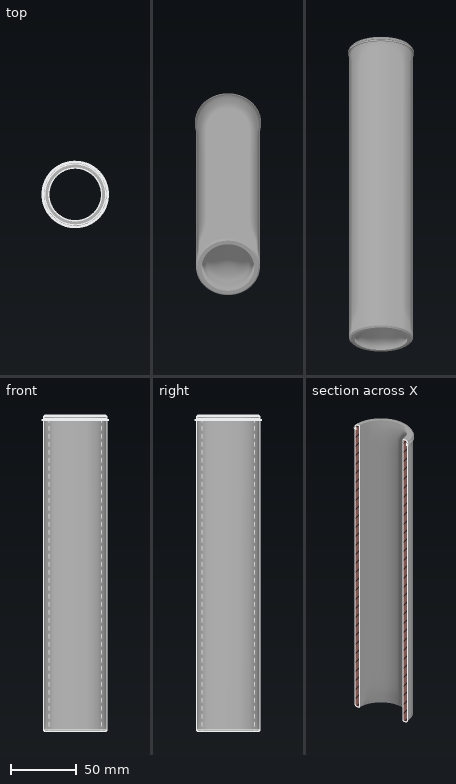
import cadquery as cq

LENGTH = 240.0
TUBE_RADIUS = 24.2
BORE_RADIUS = 20.0
CHAMFER_WIDTH = 1.2
CHAMFER_HEIGHT = 1.2

GROOVE_DEPTH = 1.0
GROOVE_FLOOR_RADIUS = TUBE_RADIUS - GROOVE_DEPTH
GROOVE_HEIGHT = 1.7
GROOVE_BASE_Z = 236.0

RING_OUTER_RADIUS = 25.2
RING_THICKNESS = 1.0


def make_washer(height):
    """Flat washer on the groove's lower wall, its bore touching the groove floor."""
    return (
        cq.Workplane("XY", origin=(0, 0, GROOVE_BASE_Z))
        .circle(RING_OUTER_RADIUS)
        .circle(GROOVE_FLOOR_RADIUS)
        .extrude(height)
    )


def make_tube():
    """Bored tube with chamfered outer ends and a groove for the ring."""
    end_radius = TUBE_RADIUS - CHAMFER_WIDTH
    wall_profile = [
        (BORE_RADIUS, 0),
        (end_radius, 0),
        (TUBE_RADIUS, CHAMFER_HEIGHT),
        (TUBE_RADIUS, LENGTH - CHAMFER_HEIGHT),
        (end_radius, LENGTH),
        (BORE_RADIUS, LENGTH),
    ]
    tube = cq.Workplane("XZ").polyline(wall_profile).close().revolve(360, (0, 0), (0, 1))
    return tube.cut(make_washer(GROOVE_HEIGHT))


retaining_ring = make_washer(RING_THICKNESS)
tube = make_tube()

result = cq.Compound.makeCompound([tube.val(), retaining_ring.val()])